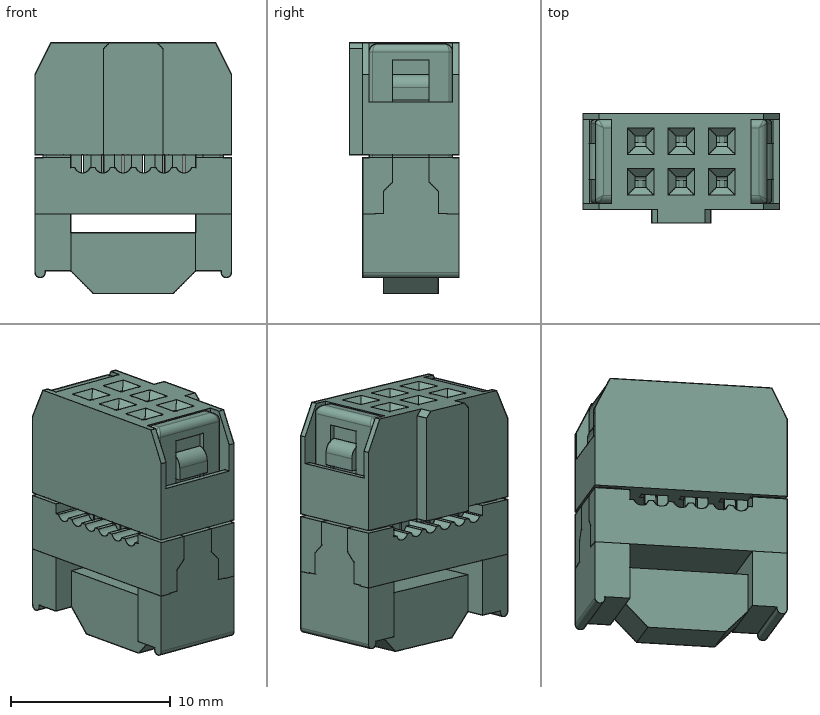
import cadquery as cq
import math

WIDTH = 12.3
DEPTH = 6.03
TOTAL_HEIGHT = 15.7
HALF_WIDTH = WIDTH / 2
PITCH = 2.55
COLUMNS = 3
CUT_MARGIN = 0.78

COVER_BOTTOM = 4.98
COVER_TOP = 8.51
HOUSING_BOTTOM = 8.68
SILL_LEVEL = 12.0

CORNER_RUN = 0.99
CORNER_DROP = 1.98
KEY_WIDTH = 3.72
KEY_DEPTH = 0.83
KEY_CHAMFER = 0.38
LEAD_IN_SIZE = 1.65
LEAD_IN_DEPTH = 0.47
HOLE_SIZE = 0.68

ARM_WIDTH = 5.23
ARM_OUTER = 0.49
ARM_INNER = 1.79
ARM_TOP = 15.62
ARM_TOP_OUTER = 0.77
ARM_CORNER_RADIUS = 0.22
ARM_TOP_RADIUS = 0.5
ARM_TAPER_BOTTOM = 9.73
ARM_TAPER_TOP = 11.3
SLOT_OUTER = 0.4
GROOVE_WIDTH = 2.28
GROOVE_TOP = 14.62
GROOVE_BACK = 1.1
BUMP_BOTTOM = 12.12
BUMP_ROUND_START = 12.9
BUMP_RADIUS = 0.8
SPACER_SETBACK = 0.31

COMB_WIDTH = 7.82
COMB_FLOOR = 7.88
WIRE_RADIUS = 0.5
WIRE_BOTTOM = 7.55

BLADE_WIDTH = 1.48
BLADE_THICKNESS = 0.41
BLADE_BOTTOM = 6.6
BLADE_ROOT = 9.42
BLADE_SLOT = 0.11
CONTACT_SEAT = 13.82
CONTACT_EDGE_RADIUS = 0.19

LEG_WIDTH = (WIDTH - COMB_WIDTH) / 2
LEG_BOTTOM = 1.43
BEAD_WIDTH = 0.65
BEAD_BOTTOM = 1.0
BAR_DEPTH = 3.44
BAR_TOP = 3.82
BAR_BOTTOM_WIDTH = 4.98
NECK_THICKNESS = ARM_OUTER
NECK_FOOT_WIDTH = 4.49
NECK_FOOT_HEIGHT = 0.05
NECK_SHOULDER = 6.4
NECK_WAIST = 6.99


def block(x_range, y_range, z_range):
    """Box given by its limits along the three axes."""
    size = [high - low for low, high in (x_range, y_range, z_range)]
    corner = (x_range[0], y_range[0], z_range[0])
    return cq.Workplane("XY").box(*size, centered=False).translate(corner)


def centred(width):
    """Limits of a span of this width around zero."""
    return (-width / 2, width / 2)


def extrude_y(outline, depth):
    """Solid with an XZ outline, centred on Y = 0."""
    return outline.extrude(depth / 2, both=True)


def extrude_x(outline, width):
    """Solid with a YZ outline, centred on X = 0."""
    return outline.extrude(width / 2, both=True)


def both_ends(left_part):
    """The two solids made of a left-end part and its mirror image."""
    return left_part, left_part.mirror("YZ")


def inset(distance):
    """X position at this distance inside the left side."""
    return distance - HALF_WIDTH


def contact_places():
    """Column position in X and row sign in Y of every contact."""
    for row in (-1, 1):
        for column in range(COLUMNS):
            yield (column - (COLUMNS - 1) / 2) * PITCH, row


def make_shank():
    """Square rod of a rear-row contact: a seat with rounded edges beside a taller hollowed leaf."""
    half = HOLE_SIZE / 2
    seat_edge = half - BLADE_THICKNESS
    hollow_radius = seat_edge + half
    hollow_middle = (
        seat_edge - hollow_radius * math.sqrt(1 / 2),
        CONTACT_SEAT + hollow_radius * (1 - math.sqrt(1 / 2)),
    )
    seat = block(
        centred(HOLE_SIZE), (seat_edge, half), (HOUSING_BOTTOM, CONTACT_SEAT),
    ).edges("|Y and >Z").fillet(CONTACT_EDGE_RADIUS)
    leaf = extrude_x(
        cq.Workplane("YZ")
        .moveTo(-half, HOUSING_BOTTOM)
        .lineTo(seat_edge, HOUSING_BOTTOM)
        .lineTo(seat_edge, CONTACT_SEAT)
        .threePointArc(hollow_middle, (-half, CONTACT_SEAT + hollow_radius))
        .close(),
        HOLE_SIZE,
    )
    return seat.union(leaf)


def make_blade_blank():
    """Blade of a rear-row contact without its wire slot."""
    half = HOLE_SIZE / 2
    return block(
        (-PITCH / 4 - BLADE_WIDTH / 2, -PITCH / 4 + BLADE_WIDTH / 2),
        (half - BLADE_THICKNESS, half),
        (BLADE_BOTTOM, BLADE_ROOT),
    )


def make_contact():
    """Rear-row contact: the rod in the housing and the slotted blade below it."""
    wire_slot = block(
        (-PITCH / 4 - BLADE_SLOT / 2, -PITCH / 4 + BLADE_SLOT / 2),
        centred(2 * HOLE_SIZE),
        (BLADE_BOTTOM - CUT_MARGIN, HOUSING_BOTTOM),
    )
    return make_shank().union(make_blade_blank()).cut(wire_slot)


def place(rear_part, column_x, row):
    """Move a rear-row part to its place, turned half round for the front row."""
    turn = 0 if row > 0 else 180
    return rear_part.rotate((0, 0, 0), (0, 0, 1), turn).translate((column_x, row * PITCH / 2, 0))


def make_housing():
    body = extrude_y(
        cq.Workplane("XZ").polyline([
            (-HALF_WIDTH, HOUSING_BOTTOM),
            (HALF_WIDTH, HOUSING_BOTTOM),
            (HALF_WIDTH, TOTAL_HEIGHT - CORNER_DROP),
            (HALF_WIDTH - CORNER_RUN, TOTAL_HEIGHT),
            (CORNER_RUN - HALF_WIDTH, TOTAL_HEIGHT),
            (-HALF_WIDTH, TOTAL_HEIGHT - CORNER_DROP),
        ]).close(),
        DEPTH,
    )
    key = block(
        centred(KEY_WIDTH),
        (-DEPTH / 2 - KEY_DEPTH, 0),
        (HOUSING_BOTTOM, TOTAL_HEIGHT),
    ).edges("|Y and >Z").chamfer(KEY_CHAMFER)
    body = body.union(key)

    window = block(
        (inset(-CUT_MARGIN), inset(ARM_INNER)),
        centred(ARM_WIDTH),
        (SILL_LEVEL, TOTAL_HEIGHT + CUT_MARGIN),
    )
    slot = block(
        (inset(SLOT_OUTER), inset(ARM_INNER)),
        centred(ARM_WIDTH),
        (HOUSING_BOTTOM - CUT_MARGIN, SILL_LEVEL),
    )
    for opening in both_ends(window.union(slot)):
        body = body.cut(opening)

    funnel = (
        cq.Workplane("XY", origin=(0, 0, TOTAL_HEIGHT - LEAD_IN_DEPTH))
        .rect(HOLE_SIZE, HOLE_SIZE)
        .workplane(offset=LEAD_IN_DEPTH)
        .rect(LEAD_IN_SIZE, LEAD_IN_SIZE)
        .loft(ruled=True)
    )
    hole = block(
        centred(HOLE_SIZE),
        centred(HOLE_SIZE),
        (HOUSING_BOTTOM, TOTAL_HEIGHT - LEAD_IN_DEPTH),
    )
    cavity = hole.union(funnel).union(make_blade_blank())
    for column_x, row in contact_places():
        body = body.cut(place(cavity, column_x, row))
    return body


def make_latch_arm():
    """Left latch arm, with a groove down its outer face and a bump in the groove."""
    arm = extrude_y(
        cq.Workplane("XZ").polyline([
            (inset(ARM_INNER), COVER_TOP),
            (inset(ARM_INNER), ARM_TOP),
            (inset(ARM_TOP_OUTER), ARM_TOP),
            (inset(ARM_TOP_OUTER), ARM_TAPER_TOP),
            (inset(ARM_OUTER), ARM_TAPER_BOTTOM),
            (inset(ARM_OUTER), COVER_TOP),
        ]).close(),
        ARM_WIDTH,
    )
    arm = arm.faces(">Z").edges("|X or <X").fillet(ARM_TOP_RADIUS)
    outer_side = cq.selectors.BoxSelector(
        (inset(0), -ARM_WIDTH, COVER_TOP),
        (inset((ARM_TOP_OUTER + ARM_INNER) / 2), ARM_WIDTH, ARM_TOP - ARM_TOP_RADIUS),
    )
    arm = arm.edges(outer_side).edges("not |Y").edges("not |X").fillet(ARM_CORNER_RADIUS)
    groove = block(
        (inset(0), inset(GROOVE_BACK)),
        centred(GROOVE_WIDTH),
        (COVER_TOP, GROOVE_TOP),
    )
    return arm.cut(groove).union(make_latch_bump())


def make_latch_bump():
    """Bump with a flat outer face, rounded over towards the top."""
    bump_depth = GROOVE_BACK - SLOT_OUTER
    rise = math.sqrt(BUMP_RADIUS ** 2 - (BUMP_RADIUS - bump_depth) ** 2)
    centre_x = inset(SLOT_OUTER + BUMP_RADIUS)
    middle_angle = math.pi - math.asin(rise / BUMP_RADIUS) / 2
    outline = (
        cq.Workplane("XZ")
        .moveTo(inset(GROOVE_BACK), BUMP_BOTTOM)
        .lineTo(inset(SLOT_OUTER), BUMP_BOTTOM)
        .lineTo(inset(SLOT_OUTER), BUMP_ROUND_START)
        .threePointArc(
            (centre_x + BUMP_RADIUS * math.cos(middle_angle),
             BUMP_ROUND_START + BUMP_RADIUS * math.sin(middle_angle)),
            (inset(GROOVE_BACK), BUMP_ROUND_START + rise),
        )
        .close()
    )
    return extrude_y(outline, GROOVE_WIDTH)


def make_spacer(width):
    """Low step beside the left latch arm that keeps the housing off the cover."""
    return block(
        (inset(ARM_INNER), inset(LEG_WIDTH)),
        centred(width),
        (COVER_TOP, HOUSING_BOTTOM),
    )


def make_comb():
    """Cutter for the recess over the cable and the six round wire grooves."""
    comb = block(
        centred(COMB_WIDTH),
        centred(DEPTH + CUT_MARGIN),
        (COMB_FLOOR, COVER_TOP + CUT_MARGIN),
    )
    wires = 2 * COLUMNS
    for wire in range(wires):
        wire_x = (wire - (wires - 1) / 2) * PITCH / 2
        groove = extrude_y(
            cq.Workplane("XZ").center(wire_x, WIRE_BOTTOM + WIRE_RADIUS).circle(WIRE_RADIUS),
            DEPTH + CUT_MARGIN,
        )
        comb = comb.union(groove)
    return comb


def make_cover():
    cover = block(centred(WIDTH), centred(DEPTH), (COVER_BOTTOM, COVER_TOP)).cut(make_comb())
    for arm in both_ends(make_latch_arm()):
        cover = cover.union(arm)
    cover = cover.union(make_spacer(ARM_WIDTH))
    cover = cover.union(make_spacer(ARM_WIDTH - 2 * SPACER_SETBACK).mirror("YZ"))
    for neck in both_ends(make_neck()):
        cover = cover.cut(neck)
    for column_x, row in contact_places():
        cover = cover.cut(place(make_blade_blank(), column_x, row))
    return cover


def make_neck():
    """Left neck, wider towards its foot, let into the end face of the cover."""
    outline = [
        (NECK_FOOT_WIDTH / 2, COVER_BOTTOM),
        (NECK_FOOT_WIDTH / 2, COVER_BOTTOM + NECK_FOOT_HEIGHT),
        (BAR_DEPTH / 2, COVER_BOTTOM + NECK_FOOT_HEIGHT),
        (BAR_DEPTH / 2, NECK_SHOULDER),
        (GROOVE_WIDTH / 2, NECK_WAIST),
        (GROOVE_WIDTH / 2, COVER_TOP),
    ]
    mirrored = [(-y, z) for y, z in reversed(outline)]
    return (
        cq.Workplane("YZ", origin=(-HALF_WIDTH, 0, 0))
        .polyline(outline + mirrored)
        .close()
        .extrude(NECK_THICKNESS)
    )


def make_leg():
    """Left leg with a rounded bead along its outer bottom edge and the neck on top."""
    bead_radius = BEAD_WIDTH / 2
    bead_centre = BEAD_BOTTOM + bead_radius
    outline = (
        cq.Workplane("XZ")
        .moveTo(inset(0), COVER_BOTTOM)
        .lineTo(inset(0), bead_centre)
        .threePointArc((inset(bead_radius), BEAD_BOTTOM), (inset(BEAD_WIDTH), bead_centre))
        .lineTo(inset(BEAD_WIDTH), LEG_BOTTOM)
        .lineTo(inset(LEG_WIDTH), LEG_BOTTOM)
        .lineTo(inset(LEG_WIDTH), COVER_BOTTOM)
        .close()
    )
    return extrude_y(outline, DEPTH).union(make_neck())


def make_strain_relief():
    bar = extrude_y(
        cq.Workplane("XZ").polyline([
            (-COMB_WIDTH / 2, BAR_TOP),
            (-COMB_WIDTH / 2, LEG_BOTTOM),
            (-BAR_BOTTOM_WIDTH / 2, 0),
            (BAR_BOTTOM_WIDTH / 2, 0),
            (COMB_WIDTH / 2, LEG_BOTTOM),
            (COMB_WIDTH / 2, BAR_TOP),
        ]).close(),
        BAR_DEPTH,
    )
    for leg in both_ends(make_leg()):
        bar = bar.union(leg)
    return bar


housing = make_housing()
cover = make_cover()
strain_relief = make_strain_relief()
contacts = [place(make_contact(), column_x, row).val() for column_x, row in contact_places()]

result = cq.Compound.makeCompound([housing.val(), cover.val(), strain_relief.val(), *contacts])